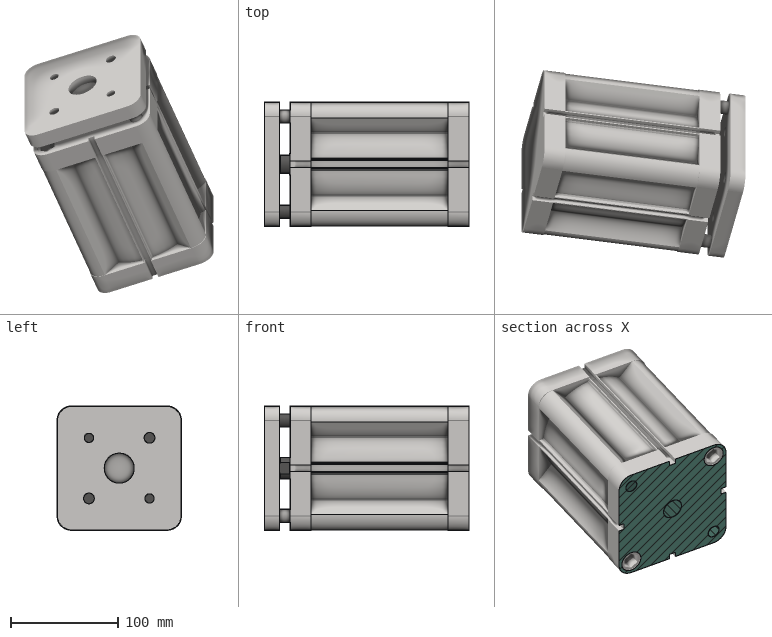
import cadquery as cq
import math

side = 116.0
corner_radius = 13.5
total_length = 191.0
plate_thickness = 14.3
gap = 9.7
cap_length = 19.7
housing_start = plate_thickness + gap
housing_length = total_length - housing_start
barrel_start = housing_start + cap_length
barrel_length = housing_length - 2 * cap_length

corner_axis = side / 2 - corner_radius
guide_rod_centers = [(corner_axis, corner_axis), (-corner_axis, -corner_axis)]
screw_centers = [(-corner_axis, corner_axis), (corner_axis, -corner_axis)]

hole_pitch = 56.5
large_hole_diameter = 10.0
small_hole_diameter = 8.6
center_recess_diameter = 28.0
center_recess_depth = 8.4

rod_insertion = cap_length
rod_length = gap + rod_insertion
guide_rod_diameter = 12.4
piston_rod_diameter = 20.0
piston_rod_flats = 17.0
flat_length = gap - 0.7
piston_rod_chamfer = 0.5

slot_width = 6.0
slot_depth = 5.0
barrel_slot_step = 0.2
barrel_inset = 0.1
barrel_half = side / 2 - barrel_inset
web_edge = 43.0
barrel_corner_radius = barrel_half - web_edge
tube_radius = 53.0
rib_width = 1.2
foot_width = 1.2
foot_strip_width = 0.7
rib_edge = slot_width / 2 + rib_width
rib_inset = 0.8
rib_top = side / 2 - rib_inset
rib_wall_bottom = 54.1
rib_foot = rib_edge + foot_width
foot_strip_end = rib_foot + foot_strip_width
pocket_fillet = 1.0
screw_head_diameter = 20.0
screw_head_recess = 0.5
socket_flats = 14.0
socket_depth = 8.5
socket_turn = 30


def section(x):
    """YZ workplane at x, with local axes along +Y and +Z and extrusion along +X."""
    return cq.Workplane("YZ", origin=(x, 0, 0))


def rounded_block(x, length, width, radius):
    return section(x).rect(width, width).extrude(length).edges("|X").fillet(radius)


def make_plate():
    plate = rounded_block(0, plate_thickness, side, corner_radius)
    offset = hole_pitch / 2
    large_centers = [(offset, -offset), (-offset, offset)]
    small_centers = [(offset, offset), (-offset, -offset)]
    large_holes = section(0).pushPoints(large_centers).circle(large_hole_diameter / 2).extrude(plate_thickness)
    small_holes = section(0).pushPoints(small_centers).circle(small_hole_diameter / 2).extrude(plate_thickness)
    center_recess = section(0).circle(center_recess_diameter / 2).extrude(center_recess_depth)
    return plate.cut(large_holes).cut(small_holes).cut(center_recess)


def make_guide_rod(center):
    return section(plate_thickness).center(*center).circle(guide_rod_diameter / 2).extrude(rod_length)


def make_piston_rod():
    rod = section(plate_thickness).circle(piston_rod_diameter / 2).extrude(rod_length)
    rod = rod.faces("<X").chamfer(piston_rod_chamfer)
    flats = (
        section(plate_thickness)
        .rect(2 * piston_rod_diameter, 2 * piston_rod_diameter)
        .rect(piston_rod_flats, 2 * piston_rod_diameter)
        .extrude(flat_length)
    )
    return rod.cut(flats)


def make_side_pocket():
    """Pocket on the +Z side of the barrel, from the slot rib to the +Y corner web, lowering the rib top."""
    web_offset = barrel_half - web_edge
    bottom_y = (math.sqrt(2 * tube_radius**2 - web_offset**2) - web_offset) / 2
    bottom = (bottom_y, bottom_y + web_offset)
    strip_end = (foot_strip_end, math.sqrt(tube_radius**2 - foot_strip_end**2))
    middle_angle = (math.atan2(strip_end[1], strip_end[0]) + math.atan2(bottom[1], bottom[0])) / 2
    middle = (tube_radius * math.cos(middle_angle), tube_radius * math.sin(middle_angle))
    pocket = (
        section(barrel_start)
        .moveTo(0, barrel_half)
        .lineTo(0, rib_top)
        .lineTo(rib_edge, rib_top)
        .lineTo(rib_edge, rib_wall_bottom)
        .lineTo(rib_foot, strip_end[1])
        .lineTo(*strip_end)
        .threePointArc(middle, bottom)
        .lineTo(web_edge, barrel_half)
        .close()
        .extrude(barrel_length)
    )
    bottom_edge = cq.selectors.NearestToPointSelector((barrel_start + barrel_length / 2, *bottom))
    return pocket.edges("|X").edges(bottom_edge).fillet(pocket_fillet)


def make_slot():
    """Sensor slot along the middle of the +Z side, slightly larger along the barrel than in the caps."""

    def slot_part(x, length, step):
        depth = slot_depth + step
        return section(x).center(0, side / 2 - depth / 2).rect(slot_width + 2 * step, depth).extrude(length)

    cap_slot = slot_part(housing_start, housing_length, 0)
    barrel_slot = slot_part(barrel_start, barrel_length, barrel_slot_step)
    return cap_slot.union(barrel_slot)


def make_screw_socket(center):
    head = section(housing_start).center(*center).circle(screw_head_diameter / 2).extrude(screw_head_recess)
    socket_corners = socket_flats / math.cos(math.radians(30))
    socket = (
        section(housing_start)
        .center(*center)
        .transformed(rotate=(0, 0, socket_turn))
        .polygon(6, socket_corners)
        .extrude(socket_depth)
    )
    return head.union(socket)


def make_housing(rods):
    barrel = rounded_block(barrel_start, barrel_length, 2 * barrel_half, barrel_corner_radius)
    pocket = make_side_pocket()
    mirrored_pocket = pocket.mirror("XZ")
    slot = make_slot()
    side_angles = [0, 90, 180, 270]
    for angle in side_angles:
        for cutter in (pocket, mirrored_pocket):
            barrel = barrel.cut(cutter.rotate((0, 0, 0), (1, 0, 0), angle))
    front_cap = rounded_block(housing_start, cap_length, side, corner_radius)
    rear_cap = rounded_block(total_length - cap_length, cap_length, side, corner_radius)
    housing = barrel.union(front_cap).union(rear_cap)
    for angle in side_angles:
        housing = housing.cut(slot.rotate((0, 0, 0), (1, 0, 0), angle))
    for center in screw_centers:
        housing = housing.cut(make_screw_socket(center))
    for rod in rods:
        housing = housing.cut(rod)
    return housing


plate = make_plate()
piston_rod = make_piston_rod()
guide_rods = [make_guide_rod(center) for center in guide_rod_centers]
housing = make_housing([piston_rod, *guide_rods])

result = cq.Compound.makeCompound(
    [plate.val(), piston_rod.val(), *[rod.val() for rod in guide_rods], housing.val()]
)